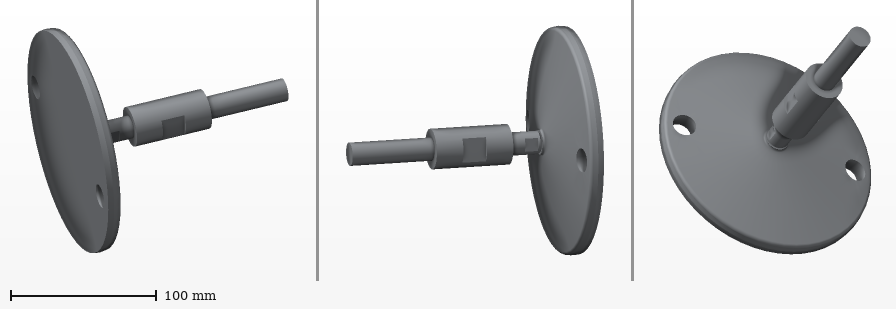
import cadquery as cq
import math


parting_radius = 79.0
parting_height = 4.1
edge_radius = 78.5
shoulder_height = 7.3
shoulder_round = 2.5
cone_angle = 9.6
collar_radius = 8.1
collar_lip_radius = 8.5
collar_top = 23.2
collar_round = 1.6

hole_diameter = 16.5
hole_offset = 62.6
hole_half_length = 31.8

total_height = 159
spindle_diameter = 16.0
neck_radius = 6.8
neck_chamfer_top = 24.3
spindle_flat_width = 13.2
spindle_flat_bottom = 25.9
spindle_flat_top = 35.3

sleeve_diameter = 28.0
sleeve_bottom = 45.6
sleeve_top = 100.5
sleeve_flat_width = 22.3
sleeve_flat_length = 16.9
sleeve_flat_bottom = 64.5

spindle_radius = spindle_diameter / 2


def revolve_about_y(profile):
    return profile.close().revolve(360, (0, 0, 0), (0, 1, 0))


def cylinder_along_y(diameter, bottom, top):
    sketch_plane = cq.Workplane("XZ", origin=(0, bottom, 0))
    return sketch_plane.circle(diameter / 2).extrude(bottom - top)


def cut_flats(body, diameter, flat_width, bottom, top):
    """Cut two opposite wrench flats facing -X and +X."""
    depth = (diameter - flat_width) / 2
    for side in (-1, 1):
        cutter = cq.Workplane("XY").box(2 * depth, top - bottom, diameter)
        body = body.cut(cutter.translate((side * (flat_width / 2 + depth), (bottom + top) / 2, 0)))
    return body


def make_foot():
    slope = math.radians(cone_angle)
    arc_half = (math.pi / 2 - slope) / 2

    shoulder_center = edge_radius - shoulder_round
    cone_outer_radius = shoulder_center + shoulder_round * math.sin(slope)
    cone_outer_height = shoulder_height + shoulder_round * math.cos(slope)
    shoulder_middle = (
        shoulder_center + shoulder_round * math.cos(arc_half),
        shoulder_height + shoulder_round * math.sin(arc_half),
    )

    round_center = collar_radius + collar_round
    cone_inner_radius = round_center - collar_round * math.sin(slope)
    cone_inner_height = cone_outer_height + (cone_outer_radius - cone_inner_radius) * math.tan(slope)
    round_center_height = cone_inner_height + collar_round * math.cos(slope)
    round_middle = (
        round_center - collar_round * math.cos(arc_half),
        round_center_height - collar_round * math.sin(arc_half),
    )

    foot = revolve_about_y(
        cq.Workplane("XY")
        .lineTo(edge_radius, 0)
        .lineTo(parting_radius, parting_height)
        .lineTo(edge_radius, shoulder_height)
        .threePointArc(shoulder_middle, (cone_outer_radius, cone_outer_height))
        .lineTo(cone_inner_radius, cone_inner_height)
        .threePointArc(round_middle, (collar_radius, round_center_height))
        .lineTo(collar_lip_radius, collar_top)
        .lineTo(0, collar_top)
    )
    for side in (-1, 1):
        direction = cq.Vector(side * math.sin(slope), math.cos(slope), 0)
        start = cq.Vector(side * hole_offset, 0, 0) - direction * hole_half_length
        foot = foot.cut(
            cq.Workplane(cq.Solid.makeCylinder(hole_diameter / 2, 2 * hole_half_length, start, direction))
        )
    return foot


def make_spindle():
    spindle = revolve_about_y(
        cq.Workplane("XY")
        .moveTo(0, collar_top)
        .lineTo(neck_radius, collar_top)
        .lineTo(spindle_radius, neck_chamfer_top)
        .lineTo(spindle_radius, total_height)
        .lineTo(0, total_height)
    )
    return cut_flats(
        spindle, spindle_diameter, spindle_flat_width, spindle_flat_bottom, spindle_flat_top
    )


def make_sleeve():
    sleeve = cylinder_along_y(sleeve_diameter, sleeve_bottom, sleeve_top)
    sleeve = sleeve.cut(cylinder_along_y(spindle_diameter, sleeve_bottom, sleeve_top))
    sleeve_flat_top = sleeve_flat_bottom + sleeve_flat_length
    return cut_flats(
        sleeve, sleeve_diameter, sleeve_flat_width, sleeve_flat_bottom, sleeve_flat_top
    )


foot = make_foot()
spindle = make_spindle()
sleeve = make_sleeve()

result = cq.Compound.makeCompound([foot.val(), spindle.val(), sleeve.val()])